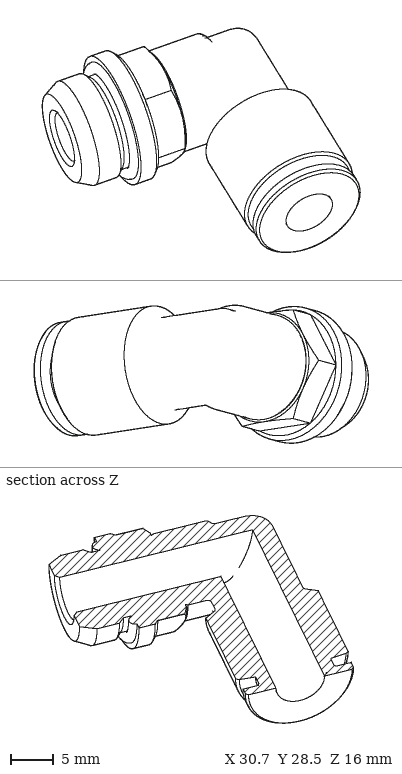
import cadquery as cq
import math


overall_length_x = 30.7
overall_length_y = 28.5
flange_radius = 16.0 / 2
collar_radius = 14.03 / 2

tube_radius = 5.5
bore_radius = 3.0
corner_blend_ratio = 0.46
cone_angle = math.radians(60)
shoulder_fillet = 0.45

stem_radius = 6.3
cone_start = 1.0
stem_end = 8.47
stem_end_chamfer = 0.2

hex_across_flats = 13.05
hex_sides = 6
hex_end = 12.43
hex_corner_angle = math.radians(30)

flange_chamfer = 0.5
flange_end = 14.95
seal_radius = 7.28
neck_radius = 5.8
neck_end = 16.12
thread_radius = 13.0 / 2
thread_start = 16.85
thread_end = 19.65
nose_radius = 5.5
stem_length = overall_length_y - collar_radius
mouth_radius = 3.5
mouth_depth = mouth_radius - bore_radius

collar_start = 9.0
collar_end = 19.95
collar_chamfer_length = 0.25
collar_chamfer_depth = 0.37
collar_face_bulge = 0.2
sleeve_radius = 4.7
sleeve_end = 21.28
ring_start = 21.52
ring_foot_radius = 4.85
ring_radius = 6.75
ring_chamfer = 0.3
branch_length = overall_length_x - flange_radius

blend_angle = math.atan(1 - corner_blend_ratio)

fillet_axial = shoulder_fillet * math.sin(cone_angle)
fillet_radial = shoulder_fillet * (1 - math.cos(cone_angle))
half_fillet_axial = shoulder_fillet * math.sin(cone_angle / 2)
half_fillet_radial = shoulder_fillet * (1 - math.cos(cone_angle / 2))


def on_stem(radius, distance):
    """Profile point of the stem, in the XY plane."""
    return (radius, -distance)


def on_branch(radius, distance):
    """Profile point of the branch, in the XY plane."""
    return (distance, radius)


def revolve_about_y(profile):
    return profile.close().revolve(360, (0, 0), (0, 1))


def revolve_about_x(profile):
    return profile.close().revolve(360, (0, 0), (1, 0))


def stem_body():
    """Elbow tube, shoulder and plain cylinder down to the hexagon."""
    cone_end = cone_start + (stem_radius - fillet_radial - tube_radius) / math.tan(cone_angle)
    shoulder_end = cone_end + fillet_axial
    return revolve_about_y(
        cq.Workplane("XY")
        .moveTo(0, tube_radius)
        .lineTo(tube_radius, tube_radius)
        .lineTo(*on_stem(tube_radius, cone_start))
        .lineTo(*on_stem(stem_radius - fillet_radial, cone_end))
        .threePointArc(
            on_stem(stem_radius - half_fillet_radial, shoulder_end - half_fillet_axial),
            on_stem(stem_radius, shoulder_end),
        )
        .lineTo(*on_stem(stem_radius, stem_end - stem_end_chamfer))
        .lineTo(*on_stem(stem_radius - stem_end_chamfer, stem_end))
        .lineTo(*on_stem(0, stem_end))
    )


def hexagon():
    """Spanner hexagon, its corners turned off on the elbow side."""
    corner_radius = hex_across_flats / 2 / math.cos(math.pi / hex_sides)
    prism = (
        cq.Workplane("XZ", origin=(0, -stem_end, 0))
        .polygon(hex_sides, 2 * corner_radius)
        .extrude(hex_end - stem_end)
    )
    chamfer_drop = (corner_radius - hex_across_flats / 2) * math.tan(hex_corner_angle)
    turned_blank = revolve_about_y(
        cq.Workplane("XY")
        .moveTo(*on_stem(0, stem_end))
        .lineTo(*on_stem(hex_across_flats / 2, stem_end))
        .lineTo(*on_stem(corner_radius, stem_end + chamfer_drop))
        .lineTo(*on_stem(corner_radius, hex_end))
        .lineTo(*on_stem(0, hex_end))
    )
    return prism.intersect(turned_blank)


def flange_and_thread():
    """Flange with rounded seal, undercut neck, plain thread cylinder and tapered nose."""
    seal_centre_radius = (seal_radius + neck_radius) / 2
    seal_height = (seal_radius - neck_radius) / 2
    return revolve_about_y(
        cq.Workplane("XY")
        .moveTo(*on_stem(0, hex_end))
        .lineTo(*on_stem(flange_radius - flange_chamfer, hex_end))
        .lineTo(*on_stem(flange_radius, hex_end + flange_chamfer))
        .lineTo(*on_stem(flange_radius, flange_end))
        .lineTo(*on_stem(seal_radius, flange_end))
        .threePointArc(
            on_stem(seal_centre_radius, flange_end + seal_height),
            on_stem(neck_radius, flange_end),
        )
        .lineTo(*on_stem(neck_radius, neck_end))
        .lineTo(*on_stem(thread_radius, thread_start))
        .lineTo(*on_stem(thread_radius, thread_end))
        .lineTo(*on_stem(nose_radius, stem_length))
        .lineTo(*on_stem(0, stem_length))
    )


def branch():
    """Elbow tube, push-in collar, release sleeve and its end ring."""
    cone_foot = collar_start - (collar_radius - tube_radius - fillet_radial) / math.tan(cone_angle)
    fillet_start = cone_foot - fillet_axial
    return revolve_about_x(
        cq.Workplane("XY")
        .moveTo(-tube_radius, 0)
        .lineTo(-tube_radius, tube_radius)
        .lineTo(*on_branch(tube_radius, fillet_start))
        .threePointArc(
            on_branch(tube_radius + half_fillet_radial, fillet_start + half_fillet_axial),
            on_branch(tube_radius + fillet_radial, cone_foot),
        )
        .lineTo(*on_branch(collar_radius, collar_start))
        .lineTo(*on_branch(collar_radius, collar_end - collar_chamfer_length))
        .lineTo(*on_branch(collar_radius - collar_chamfer_depth, collar_end))
        .lineTo(*on_branch(sleeve_radius, collar_end + collar_face_bulge))
        .lineTo(*on_branch(sleeve_radius, sleeve_end))
        .lineTo(*on_branch(ring_foot_radius, ring_start))
        .lineTo(*on_branch(ring_radius, ring_start))
        .lineTo(*on_branch(ring_radius, branch_length - ring_chamfer))
        .lineTo(*on_branch(ring_radius - ring_chamfer, branch_length))
        .lineTo(*on_branch(0, branch_length))
    )


def mitred_corner(radius):
    """Common volume of both tubes, which fills the outer corner where they meet."""
    along_x = cq.Workplane("YZ").circle(radius).extrude(radius, both=True)
    along_y = cq.Workplane("XZ").circle(radius).extrude(radius, both=True)
    return along_x.intersect(along_y)


def corner_reach(angle):
    """Distance from the origin to the rounded unit corner, at an angle from the -X axis."""
    centre = 1 - corner_blend_ratio
    along = centre * (math.cos(angle) + math.sin(angle))
    return along + math.sqrt(along**2 - 2 * centre**2 + corner_blend_ratio**2)


def corner_rounding():
    """Blend of the outer corner; it shrinks to nothing at the top and bottom of the tubes."""
    sweep_angle = math.pi / 2 - 2 * blend_angle
    section_count = 5
    sections = []
    for index in range(section_count):
        angle = blend_angle + sweep_angle * index / (section_count - 1)
        outward = cq.Vector(-math.cos(angle), math.sin(angle), 0)
        plane = cq.Plane(origin=(0, 0, 0), xDir=outward, normal=outward.cross(cq.Vector(0, 0, 1)))
        section = (
            cq.Workplane(plane)
            .moveTo(0, -tube_radius)
            .ellipseArc(tube_radius * corner_reach(angle), tube_radius, -90, 90)
            .close()
        )
        sections.append(section.val())
    loft = cq.Solid.makeLoft(sections)

    smallest_area = 0.09425
    faces = [face for face in loft.Faces() if face.Area() > smallest_area]
    return cq.Workplane(cq.Solid.makeSolid(cq.Shell.makeShell(faces)))


def is_crease(edge):
    """True for the edges where the stem shoulder stands on the elbow tube."""
    tolerance = 0.003
    middle = edge.positionAt(0.5)
    on_stem_tube = abs(math.hypot(middle.x, middle.z) - tube_radius) < tolerance
    on_branch_tube = abs(math.hypot(middle.y, middle.z) - tube_radius) < tolerance
    return (on_stem_tube or on_branch_tube) and edge.BoundingBox().ymax < tolerance - cone_start


def elbow():
    """Both legs, blended at the inner crease and rounded at the outer corner."""
    length = 2 * tube_radius
    rise = length * math.tan(blend_angle)
    beyond_stem = (
        cq.Workplane("XY")
        .polyline([(0, 0), (-length, rise), (-length, length), (length, length), (length, 0)])
        .close()
        .extrude(length, both=True)
    )
    beyond_branch = beyond_stem.mirror("YZ").rotate((0, 0, 0), (0, 0, 1), 90)
    legs = stem_body().cut(beyond_stem).union(branch().cut(beyond_branch))
    creases = [edge for edge in legs.edges().vals() if is_crease(edge)]
    return legs.newObject(creases).fillet(shoulder_fillet).union(corner_rounding())


def bores():
    """Through bore of both legs, mitred at the elbow and countersunk at the stem mouth."""
    stem_bore = cq.Workplane("XZ").circle(bore_radius).extrude(stem_length)
    branch_bore = cq.Workplane("YZ").circle(bore_radius).extrude(branch_length)
    mouth = revolve_about_y(
        cq.Workplane("XY")
        .moveTo(*on_stem(0, stem_length))
        .lineTo(*on_stem(mouth_radius, stem_length))
        .lineTo(*on_stem(bore_radius, stem_length - mouth_depth))
        .lineTo(*on_stem(0, stem_length - mouth_depth))
    )
    return stem_bore.union(branch_bore).union(mitred_corner(bore_radius)).union(mouth)


outside = elbow().union(hexagon()).union(flange_and_thread())
result = outside.cut(bores()).solids()